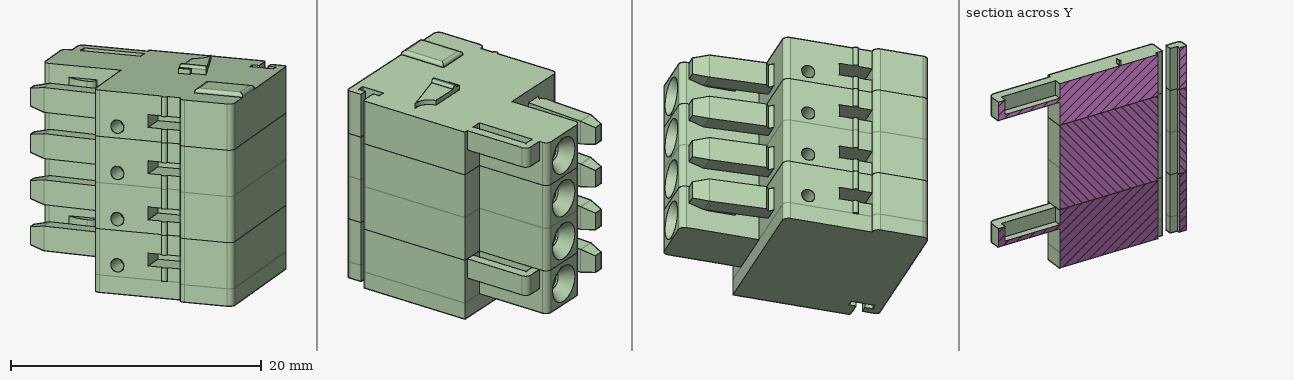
import cadquery as cq

length = 18.6
depth = 13.5
pitch = 3.81
cover_thickness = 1.45
corner_radius = 0.5
pole_bottoms = [cover_thickness + index * pitch for index in range(4)]
stack_top = cover_thickness + 4 * pitch

block_left = 6.6
block_front = 0.54
block_back_right = 16.48
back_corner_radius = 0.2
heel_left = 13.99
rib_x = 12.61
rib_half_width = 0.25
rib_front = 0.33

groove_bottom = 11.48
groove_neck = 12.05
groove_left = 15.9
groove_right = 17.9
lip_left = 17.22
lip_back = 12.7
lip_corner_radius = 0.3

arm_front = 6.9
arm_back = groove_bottom
entry_y = 9.2
entry_z = 1.85
entry_diameter = 3.12
entry_bore = 1.5
entry_cone_depth = 1.06
entry_bore_depth = 0.19

tab_left = 0.8
tab_back = 13.17
tab_height = 1.71
tab_slot_left = 1.49
tab_slot_back = 12.35
tab_slot_depth = 1.3

latch_left = 2.2
latch_right = 4.58
latch_peak_x = 3.96
latch_front = 6.25
latch_corner_y = 6.68
latch_ramp_middle = (3.05, 6.44)
latch_nose_middle = (4.39, 6.38)
latch_z = 1.88
latch_height = 0.95

test_hole_x = 8.61
test_hole_z = 0.93
test_hole_diameter = 1.1
test_hole_depth = 2.23
slot_left = 11.23
slot_z = 1.12
slot_height = 1.06
slot_depth = 2.23

pin_z = 1.73
pin_height = 2.05
pin_tip_height = 1.49
pin_tip_front = 3.92
pin_tip_back = 4.76
pin_taper_end = 1.3
pin_shoulder_front = 3.5
pin_shoulder_back = 4.93
pin_root_front = 3.2
pin_root_back = 4.6
pin_notch_left = 5.99
pin_notch_left_front = 3.22
pin_notch_x = 6.27
pin_notch_bottom = 3.52

wedge_left = 11.23
wedge_right = 13.47
wedge_front = 7.87
wedge_tip = (12.28, 12.25)
wedge_notch_middle = (12.02, 11.3)
wedge_notch_end_y = 10.86
wedge_height = 0.4
plate_top = stack_top + wedge_height
ridge_top = stack_top + 0.63
wedge_foot_right = 12.22
wedge_foot_front = 7.57
ridge_back = 8.45
ridge_edge_radius = 0.2
button_left = 14.5
button_front = 2.3
button_back = 5.05
button_height = 0.35
button_radius = 0.32


def box(x_range, y_range, bottom, height):
    """Box between two X and two Y limits, standing on the height `bottom`."""
    size_x = x_range[1] - x_range[0]
    size_y = y_range[1] - y_range[0]
    solid = cq.Workplane("XY").box(size_x, size_y, height, centered=False)
    return solid.translate((x_range[0], y_range[0], bottom))


def main_block(bottom, height):
    """Block with a front heel and a T-shaped groove in its back."""
    outline = (
        cq.Workplane("XY")
        .moveTo(block_left, block_front)
        .lineTo(heel_left, block_front)
        .lineTo(heel_left, 0)
        .lineTo(length, 0)
        .lineTo(length, lip_back)
        .lineTo(lip_left, lip_back)
        .lineTo(lip_left, groove_neck)
        .lineTo(groove_right, groove_neck)
        .lineTo(groove_right, groove_bottom)
        .lineTo(groove_left, groove_bottom)
        .lineTo(groove_left, groove_neck)
        .lineTo(block_back_right, groove_neck)
        .lineTo(block_back_right, depth)
        .lineTo(block_left, depth)
        .close()
    )
    block = outline.extrude(height)

    rounded_corners = [
        (block_left, block_front, corner_radius),
        (heel_left, 0, corner_radius),
        (length, 0, corner_radius),
        (length, lip_back, lip_corner_radius),
        (block_back_right, depth, back_corner_radius),
    ]
    for x, y, radius in rounded_corners:
        corner_edge = cq.NearestToPointSelector((x, y, height / 2))
        block = block.edges(corner_edge).fillet(radius)
    return block.translate((0, 0, bottom))


def wire_entry(bottom):
    """Funnel and bore that are cut into the -X face of the arm."""
    bore_end = entry_cone_depth + entry_bore_depth
    funnel = (
        cq.Workplane("XY")
        .lineTo(0, entry_diameter / 2)
        .lineTo(entry_cone_depth, entry_bore / 2)
        .lineTo(bore_end, entry_bore / 2)
        .lineTo(bore_end, 0)
        .close()
        .revolve(360, (0, 0, 0), (1, 0, 0))
    )
    return funnel.translate((0, entry_y, bottom + entry_z))


def contact_pin(bottom):
    """Slightly inclined pin with a pointed tip and a V notch at its root."""
    plan = (
        cq.Workplane("XY")
        .polyline([
            (0, pin_tip_front),
            (pin_taper_end, pin_shoulder_front),
            (pin_notch_left, pin_notch_left_front),
            (pin_notch_x, pin_notch_bottom),
            (block_left, pin_root_front),
            (block_left, pin_root_back),
            (pin_taper_end, pin_shoulder_back),
            (0, pin_tip_back),
        ])
        .close()
        .extrude(pin_height)
        .translate((0, 0, -pin_height / 2))
    )
    side = (
        cq.Workplane("XZ")
        .polyline([
            (0, -pin_tip_height / 2),
            (pin_taper_end, -pin_height / 2),
            (block_left, -pin_height / 2),
            (block_left, pin_height / 2),
            (pin_taper_end, pin_height / 2),
            (0, pin_tip_height / 2),
        ])
        .close()
        .extrude(-depth)
    )
    return plan.intersect(side).translate((0, 0, bottom + pin_z))


def pole(bottom):
    """One pole: main block, arm, rib and pin, with its front and wire openings."""
    arm = box((0, block_left), (arm_front, arm_back), bottom, pitch)
    arm = arm.edges("|Z and <X").fillet(corner_radius)
    rib = (
        cq.Workplane("XY", origin=(0, 0, bottom))
        .moveTo(rib_x - rib_half_width, block_front)
        .threePointArc((rib_x, rib_front), (rib_x + rib_half_width, block_front))
        .close()
        .extrude(pitch)
    )
    solid = main_block(bottom, pitch).union(arm).union(rib)

    release_slot = box((slot_left, heel_left), (0, block_front + slot_depth), bottom + slot_z, slot_height)
    test_hole = (
        cq.Workplane("XZ", origin=(test_hole_x, block_front, bottom + test_hole_z))
        .circle(test_hole_diameter / 2)
        .extrude(-test_hole_depth)
    )
    solid = solid.cut(release_slot).cut(test_hole).cut(wire_entry(bottom))
    return solid.union(contact_pin(bottom))


def coding_tab(bottom):
    """Slotted tab behind the arm, flush with the top of its pole."""
    top = bottom + pitch
    tab = box((tab_left, block_left), (arm_back, tab_back), top - tab_height, tab_height)
    tab = tab.edges("|Z and <X and >Y").fillet(corner_radius)
    slot = box((tab_slot_left, block_left), (arm_back, tab_slot_back), top - tab_slot_depth, tab_slot_depth)
    return tab.cut(slot)


def latch_bump(bottom):
    """Rounded bump on the front of the arm."""
    bump = (
        cq.Workplane("XY")
        .moveTo(latch_left, arm_front)
        .threePointArc(latch_ramp_middle, (latch_peak_x, latch_front))
        .threePointArc(latch_nose_middle, (latch_right, latch_corner_y))
        .lineTo(latch_right, arm_front)
        .close()
        .extrude(latch_height)
    )
    return bump.translate((0, 0, bottom + latch_z))


def end_pole(bottom):
    """Pole at either end of the stack, with a coding tab and a latch bump."""
    return pole(bottom).union(coding_tab(bottom)).union(latch_bump(bottom))


def coupling_wedge():
    """Raised wedge with a rounded ridge along its front edge and a small foot."""
    outline = (
        cq.Workplane("XY", origin=(0, 0, stack_top))
        .moveTo(wedge_left, wedge_front)
        .lineTo(wedge_right, wedge_front)
        .lineTo(*wedge_tip)
        .threePointArc(wedge_notch_middle, (wedge_left, wedge_notch_end_y))
        .close()
        .extrude(ridge_top - stack_top)
    )
    plate = box((wedge_left, wedge_right), (wedge_front, depth), stack_top, wedge_height)
    ridge = box((wedge_left, wedge_right), (wedge_front, ridge_back), plate_top, ridge_top - plate_top)
    ridge = ridge.edges("|X and >Z").fillet(ridge_edge_radius)
    wedge = outline.intersect(plate.union(ridge))
    foot = box((wedge_left, wedge_foot_right), (wedge_foot_front, wedge_front), stack_top, wedge_height)
    return wedge.union(foot)


def coupling_button():
    """Low pad with rounded top edges."""
    pad = box((button_left, length), (button_front, button_back), stack_top, button_height)
    return pad.faces(">Z").edges().fillet(button_radius)


last_pole = end_pole(pole_bottoms[0]).union(main_block(0, cover_thickness), clean=False)
middle_poles = pole(pole_bottoms[1]).union(pole(pole_bottoms[2]), clean=False)
first_pole = end_pole(pole_bottoms[3]).union(coupling_wedge()).union(coupling_button())

result = cq.Compound.makeCompound([first_pole.val(), middle_poles.val(), last_pole.val()])